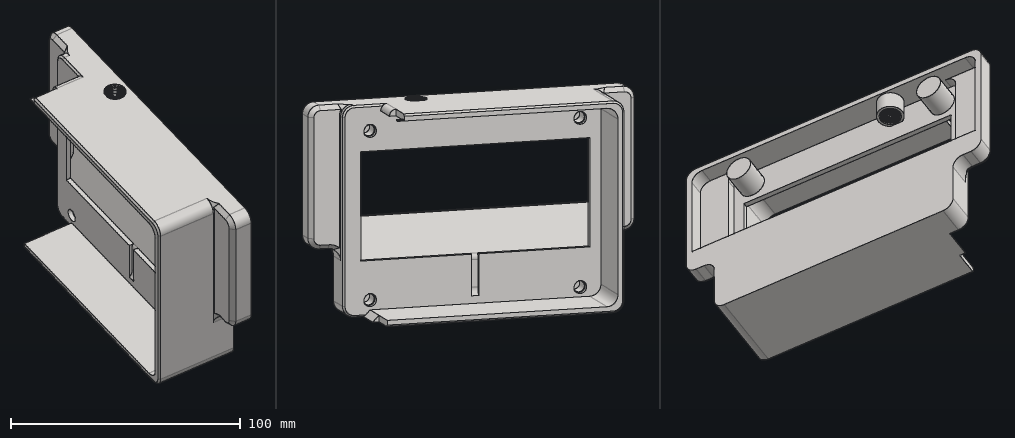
import cadquery as cq
import math

total_width = 149.0
total_depth = 38.7
total_height = 94.0
body_width = 120.7
body_depth = 14.2
wing_depth = 10.1
wing_bottom = 30.1
corner_radius = 5.0
wall = 3.0
face_wall = 2.2
wing_chamfer = 2.1
edge_chamfer = 0.9
joint_height = 0.5

window_width = 104.6
window_bottom = 24.9
window_top = 73.3
panel_top = 42.3

screw_diameter = 5.0
screw_depth = 9.0
counterbore_diameter = 5.7
boss_diameter = 12.0
screw_x = 48.0
screw_heights = (7.3, 82.4)

groove_width = 3.3
groove_depth = 1.3
groove_bottom = 6.4
groove_ramp = 3.6
groove_lip = 2.7

port_diameter = 9.7
port_bore = 8.6
port_tube_diameter = 12.0
thread_pitch = 0.9
thread_turns = 13
port_x = -24.7
port_depth = 6.7

skirt_top_end = -40.2
skirt_bottom_end = -screw_x
rib_depth = 26.8
tab_depth = 1.8
tab_thickness = 0.5

half_width = total_width / 2
half_body = body_width / 2
face_back = body_depth - face_wall


def slab(outline, front, back=0.0):
    """Prism of an XZ outline between two distances in front of the back face."""
    return outline.extrude(front - back).translate((0, -back, 0))


def box(x_range, depth_range, z_range):
    size = (x_range[1] - x_range[0], depth_range[1] - depth_range[0], z_range[1] - z_range[0])
    corner = (x_range[0], -depth_range[1], z_range[0])
    return cq.Workplane("XY").box(*size, centered=False).translate(corner)


def body_block(front, back=0.0, inset=0.0, corner=corner_radius):
    """Rounded rectangle of the body, shrunk by an inset or grown by a negative one."""
    outline = cq.Workplane("XZ").center(0, total_height / 2)
    outline = outline.rect(body_width - 2 * inset, total_height - 2 * inset)
    return slab(outline, front, back).edges("|Y").fillet(corner)


def housing_block(front, inset=0.0):
    """T-shaped outline of the body and both wings, with every corner rounded."""
    body_edge = half_body - inset
    wing_edge = half_width - inset
    step = wing_bottom + inset
    top = total_height - inset
    outline = (
        cq.Workplane("XZ")
        .moveTo(-body_edge, inset)
        .lineTo(body_edge, inset)
        .lineTo(body_edge, step)
        .lineTo(wing_edge, step)
        .lineTo(wing_edge, top)
        .lineTo(-wing_edge, top)
        .lineTo(-wing_edge, step)
        .lineTo(-body_edge, step)
        .close()
    )
    return slab(outline, front).edges("|Y").fillet(corner_radius)


def wing_joint():
    """45 degree flare around the body that fills the corner against the wings."""
    flare = wing_chamfer + joint_height
    front = wing_depth + joint_height
    grown = body_block(front, inset=-flare, corner=corner_radius + flare)
    return grown.faces("<Y").edges().chamfer(flare).intersect(housing_block(front))


def sloped_panel():
    """Solid wedge rising from the lower window edge to a narrow ledge at the back."""
    profile = (
        cq.Workplane("YZ")
        .moveTo(0, 0)
        .lineTo(-body_depth, 0)
        .lineTo(-body_depth, window_bottom)
        .lineTo(-face_back, window_bottom)
        .lineTo(-face_wall, panel_top)
        .lineTo(0, panel_top)
        .close()
    )
    return profile.extrude(half_width, both=True)


def screw_cylinders(diameter, front, back):
    points = [(x, z) for x in (-screw_x, screw_x) for z in screw_heights]
    return slab(cq.Workplane("XZ").pushPoints(points).circle(diameter / 2), front, back)


def cavity():
    """Hollow behind the face: open at the back, deeper in the body than in the wings."""
    deep = body_block(face_back, inset=wall)
    shallow = housing_block(wing_depth - wall, inset=wall)
    bosses = screw_cylinders(boss_diameter, body_depth, 0)
    return deep.union(shallow).cut(sloped_panel()).cut(bosses)


def port_tube():
    """Solid blank of the port tube, as long as the thread."""
    top = cq.Workplane("XY", origin=(port_x, -port_depth, total_height))
    return top.circle(port_tube_diameter / 2).extrude(-thread_turns * thread_pitch)


def port_thread():
    """Port bore with the thread simplified to a stack of trapezoidal rings."""
    outer = port_diameter / 2
    inner = port_bore / 2
    profile = cq.Workplane("XZ", origin=(port_x, -port_depth, total_height)).lineTo(outer, 0)
    quarter = thread_pitch / 4
    for turn in range(thread_turns):
        start = -turn * thread_pitch
        profile = profile.lineTo(outer, start - quarter).lineTo(inner, start - 2 * quarter)
        profile = profile.lineTo(inner, start - 3 * quarter).lineTo(outer, start - 4 * quarter)
    profile = profile.lineTo(0, -thread_turns * thread_pitch).close()
    return profile.revolve(360, (0, 0, 0), (0, 1, 0))


def groove():
    """Shallow channel with a curved run-out below and a rounded lip into the window."""
    floor = -body_depth + groove_depth
    diagonal = math.sqrt(0.5)
    lip_drop = face_wall - groove_depth
    lip_middle = (floor + lip_drop * (1 - diagonal), window_bottom - groove_lip * (1 - diagonal))
    ramp_middle = (
        floor - groove_depth * (1 - diagonal),
        groove_bottom + groove_ramp * (1 - diagonal),
    )
    profile = (
        cq.Workplane("YZ")
        .moveTo(-body_depth, groove_bottom)
        .threePointArc(ramp_middle, (floor, groove_bottom + groove_ramp))
        .lineTo(floor, window_bottom - groove_lip)
        .threePointArc(lip_middle, (-face_back, window_bottom))
        .lineTo(-body_depth, window_bottom)
        .close()
    )
    return profile.extrude(groove_width / 2, both=True)


def skirt():
    """Wall standing forward of the face along the top, right and bottom."""
    ring = body_block(total_depth).faces("<Y").edges().chamfer(edge_chamfer)
    ring = ring.cut(body_block(total_depth, inset=wall))
    depths = (body_depth - wall, total_depth)
    middle = total_height / 2
    upper = box((skirt_top_end, half_body), depths, (middle, total_height))
    lower = box((skirt_bottom_end, half_body), depths, (0, middle))
    return ring.intersect(upper.union(lower))


def top_rib():
    """Quarter-round rib closing the end of the top wall."""
    inner = total_height - wall
    offset = wall * math.sqrt(0.5)
    profile = (
        cq.Workplane("XZ")
        .moveTo(skirt_top_end, inner)
        .lineTo(skirt_top_end - wall, inner)
        .threePointArc((skirt_top_end - offset, inner + offset), (skirt_top_end, total_height))
        .close()
    )
    return slab(profile, rib_depth, face_back)


def bottom_rib():
    """Rib with a 45 degree face at the end of the bottom wall."""
    profile = (
        cq.Workplane("XZ")
        .moveTo(skirt_bottom_end, 0)
        .lineTo(skirt_bottom_end, wall)
        .lineTo(skirt_bottom_end - wall, 0)
        .close()
    )
    return slab(profile, rib_depth, face_back)


def front_tab():
    """Thin tab at the front corner of the top wall."""
    inner = total_height - wall
    x_range = (skirt_top_end - wall, skirt_top_end + wall)
    return box(x_range, (total_depth - tab_depth, total_depth), (inner, inner + tab_thickness))


wings = housing_block(wing_depth).faces("<Y").edges().chamfer(wing_chamfer)
body = body_block(body_depth).faces("<Y").edges().chamfer(edge_chamfer)
result = wings.union(wing_joint()).union(body)

window = box((-window_width / 2, window_width / 2), (0, body_depth), (window_bottom, window_top))
result = result.cut(cavity()).cut(window.cut(sloped_panel())).cut(groove())

result = result.cut(screw_cylinders(screw_diameter, body_depth, body_depth - screw_depth))
result = result.cut(screw_cylinders(counterbore_diameter, body_depth, face_back))
result = result.union(port_tube()).cut(port_thread())

for detail in (skirt(), top_rib(), bottom_rib(), front_tab()):
    result = result.union(detail)